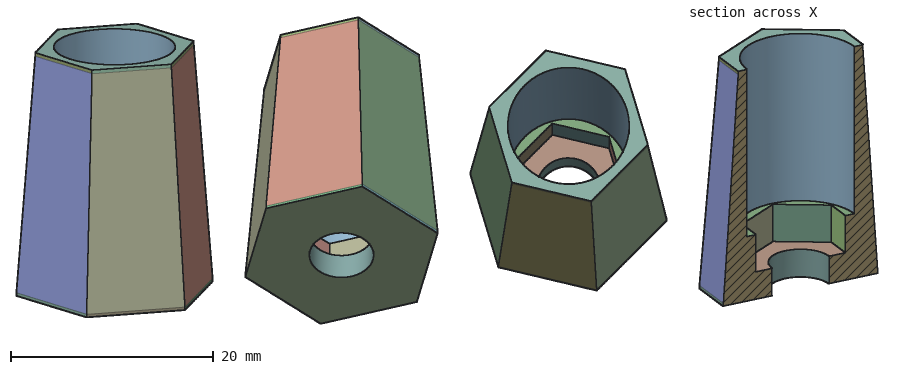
import cadquery as cq
import math

height = 25.0
base_across_corners = 20.0
top_across_flats = 14.0
band_height = 0.35

hole_diameter = 6.35
floor_thickness = 3.0
socket_across_flats = 10.0
socket_depth = 4.0
bore_diameter = 12.0


def across_corners(across_flats):
    """Corner-to-corner size of a regular hexagon."""
    return across_flats / math.cos(math.pi / 6)


def hexagon_prism(corner_size, bottom, depth):
    """Upright hexagonal prism with two corners on the X axis."""
    return cq.Workplane("XY").workplane(offset=bottom).polygon(6, corner_size).extrude(depth)


def tapered_body():
    """Hexagonal taper between two thin straight-sided bands."""
    top_across_corners = across_corners(top_across_flats)
    taper_height = height - 2 * band_height
    lower_band = hexagon_prism(base_across_corners, 0, band_height)
    upper_band = hexagon_prism(top_across_corners, height - band_height, band_height)
    taper = (
        cq.Workplane("XY")
        .workplane(offset=band_height)
        .polygon(6, base_across_corners)
        .workplane(offset=taper_height)
        .polygon(6, top_across_corners)
        .loft(ruled=True)
    )
    return lower_band.union(taper).union(upper_band)


def stepped_opening():
    """Round through hole, hexagonal socket above it and wide round bore to the top."""
    bore_floor = floor_thickness + socket_depth
    hole = cq.Workplane("XY").circle(hole_diameter / 2).extrude(height)
    socket = hexagon_prism(across_corners(socket_across_flats), floor_thickness, height - floor_thickness)
    bore = (
        cq.Workplane("XY")
        .workplane(offset=bore_floor)
        .circle(bore_diameter / 2)
        .extrude(height - bore_floor)
    )
    return hole.union(socket).union(bore)


result = tapered_body().cut(stepped_opening())